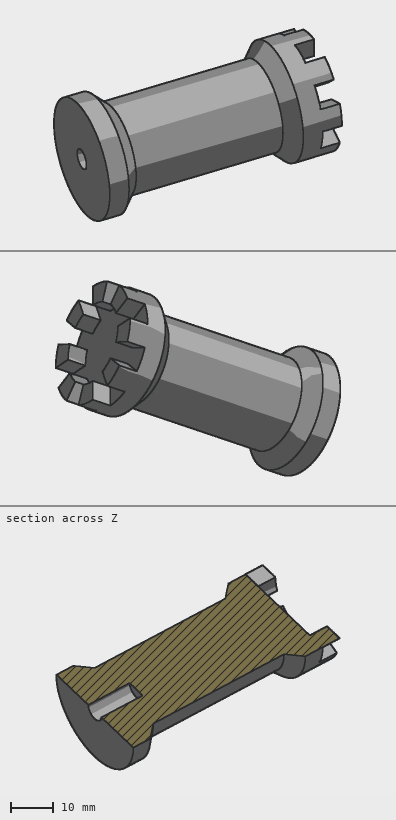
import cadquery as cq
import math

length = 60.0
flange_radius = 30.0 / 2
shaft_radius = 22.9 / 2
base_rim_width = 5.0
crown_rim_width = 10.0
cone_length = flange_radius - shaft_radius

tooth_height = 5.0
tooth_count = 8
crown_bore_radius = 10.0

hole_diameter = 5.0
hole_depth = 12.0

tooth_pitch = 360.0 / tooth_count
slot_angle = tooth_pitch / 2


def make_spool():
    """Solid of revolution about Y: rim, cone, shaft, cone, crown rim."""
    crown_start = length - crown_rim_width
    profile = [
        (0, 0),
        (flange_radius, 0),
        (flange_radius, base_rim_width),
        (shaft_radius, base_rim_width + cone_length),
        (shaft_radius, crown_start - cone_length),
        (flange_radius, crown_start),
        (flange_radius, length),
        (0, length),
    ]
    return cq.Workplane("XY").polyline(profile).close().revolve(360, (0, 0), (0, 1))


def cylinder_along_y(radius, start, depth):
    return cq.Workplane("XZ", origin=(0, start, 0)).circle(radius).extrude(-depth)


def make_slot(start_angle):
    """Wedge with radial walls; angles run from +Z towards +X."""
    half_angle = slot_angle / 2
    reach = 1.5 * flange_radius
    corners = []
    for angle in (start_angle, start_angle + half_angle, start_angle + slot_angle):
        turn = math.radians(angle)
        corners.append((reach * math.sin(turn), reach * math.cos(turn)))
    plane = cq.Workplane("XZ", origin=(0, length - tooth_height, 0))
    return plane.polyline([(0, 0)] + corners).close().extrude(-tooth_height)


result = make_spool()

result = result.cut(cylinder_along_y(crown_bore_radius, length - tooth_height, tooth_height))
for index in range(tooth_count):
    result = result.cut(make_slot(index * tooth_pitch))

result = result.cut(cylinder_along_y(hole_diameter / 2, 0, hole_depth))